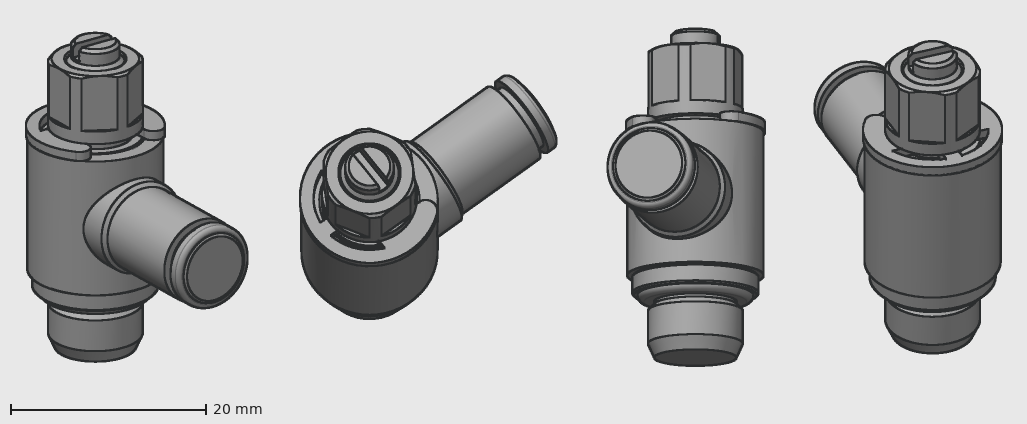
import cadquery as cq
import math


total_height = 34.0
tip_height = 1.45
thread_top = 4.9
seal_bottom = 5.85
collar_bottom = 6.55
housing_bottom = 8.6
housing_height = 14.95
housing_top = housing_bottom + housing_height
clip_thickness = 1.02
clip_top = housing_top + clip_thickness
hex_bottom = 25.98
hex_top = 32.03

bolt_dia = 9.75
neck_dia = 8.5
tip_dia = 8.43
clip_groove_dia = 7.6
hex_across_flats = 9.0
hex_crown_dia = 8.98
hex_crown_angle = 30.0
screw_bore_dia = 6.0
screw_bore_chamfer = 0.2

screw_tip_dia = 5.0
screw_tip_chamfer = 0.37
screw_shoulder_top = 32.3
screw_slot_width = 1.12
screw_slot_depth = 1.45

housing_dia = 14.0
bore_chamfer = 0.27
branch_height = 16.0
hub_dia = 10.0
hub_end = 8.55
branch_dia = 9.1
branch_end = 18.55
hub_chamfer = (hub_dia - branch_dia) / 2

sleeve_neck_dia = 7.4
sleeve_flange_dia = 9.0
sleeve_flange_start = 19.6
sleeve_flange_end = 20.95
sleeve_rounding = 0.5
sleeve_end = 21.1
sleeve_face_dia = 7.0
sleeve_cone_dia = 7.6

clip_dia = 14.28
clip_opening = 6.95
clip_end_rounding = 1.2
window_outer_dia = 11.45
finger_half_width = 0.9
window_edge_x = -2.1

collar_dia = 13.0
collar_chamfer = 0.2
seal_dia = 11.9
seal_rounding = 0.68


def disc(diameter, bottom, top):
    """Cylinder on the bolt axis between two heights."""
    return cq.Workplane("XY").workplane(offset=bottom).circle(diameter / 2).extrude(top - bottom)


def ring(outer_dia, inner_dia, bottom, top):
    """Ring on the bolt axis between two heights."""
    return (
        cq.Workplane("XY").workplane(offset=bottom)
        .circle(outer_dia / 2).circle(inner_dia / 2).extrude(top - bottom)
    )


def branch_cylinder(diameter, start, end):
    """Cylinder on the branch axis between two X positions."""
    return (
        cq.Workplane("YZ", origin=(start, 0, branch_height))
        .circle(diameter / 2).extrude(end - start)
    )


def make_housing():
    """Barrel with the side branch, bored through for the bolt."""
    hub = branch_cylinder(hub_dia, 0, hub_end).faces(">X").chamfer(hub_chamfer)
    branch = branch_cylinder(branch_dia, 0, branch_end)
    barrel = disc(housing_dia, housing_bottom, housing_top)
    housing = barrel.union(hub).union(branch)
    housing = housing.cut(disc(bolt_dia, housing_bottom, housing_top))
    return housing.faces(">Z").edges(cq.NearestToPointSelector((0, 0, housing_top))).chamfer(bore_chamfer)


def make_bolt():
    """Hollow bolt: turned profile, hexagon head and screw bore."""
    radius = bolt_dia / 2
    crown_radius = hex_crown_dia / 2
    crown_drop = (radius - crown_radius) * math.tan(math.radians(hex_crown_angle))
    cone_height = (bolt_dia - neck_dia) / 2
    profile = [
        (0, 0),
        (tip_dia / 2, 0),
        (radius, tip_height),
        (radius, thread_top),
        (neck_dia / 2, thread_top + cone_height),
        (neck_dia / 2, collar_bottom),
        (radius, collar_bottom),
        (radius, housing_top),
        (clip_groove_dia / 2, housing_top),
        (clip_groove_dia / 2, clip_top),
        (radius, clip_top),
        (radius, hex_top - crown_drop),
        (crown_radius, hex_top),
        (0, hex_top),
    ]
    bolt = cq.Workplane("XZ").polyline(profile).close().revolve(360, (0, 0), (0, 1))

    across_corners = hex_across_flats / math.cos(math.radians(30))
    around_hexagon = (
        cq.Workplane("XY").workplane(offset=hex_bottom)
        .circle(bolt_dia).polygon(6, across_corners).extrude(hex_top - hex_bottom)
    )
    bolt = bolt.cut(around_hexagon)

    bolt = bolt.cut(disc(screw_bore_dia, hex_bottom, hex_top))
    return bolt.faces(">Z").edges(cq.NearestToPointSelector((0, 0, hex_top))).chamfer(screw_bore_chamfer)


def make_screw():
    """Slotted adjusting screw filling the bore of the bolt."""
    shoulder_height = (screw_bore_dia - screw_tip_dia) / 2
    shoulder_bottom = screw_shoulder_top - shoulder_height
    tip = disc(screw_tip_dia, shoulder_bottom, total_height).faces(">Z").chamfer(screw_tip_chamfer)
    body = disc(screw_bore_dia, hex_bottom, screw_shoulder_top)
    body = body.faces(">Z").chamfer(shoulder_height)
    slot = (
        cq.Workplane("XY").workplane(offset=total_height - screw_slot_depth)
        .rect(screw_slot_width, screw_bore_dia).extrude(screw_slot_depth)
    )
    return body.union(tip).cut(slot)


def make_clip():
    """E-shaped retaining clip in the groove of the bolt, open towards +X."""
    outer = clip_dia / 2
    opening = (
        cq.Workplane("XY").workplane(offset=housing_top)
        .rect(2 * outer, clip_opening).extrude(clip_thickness)
        .translate((outer, 0, 0))
    )
    clip = ring(clip_dia, clip_groove_dia, housing_top, clip_top).cut(opening)

    corner_x = math.sqrt(outer**2 - (clip_opening / 2) ** 2)
    for side in (1, -1):
        corner = (corner_x, side * clip_opening / 2, housing_top + clip_thickness / 2)
        clip = clip.edges(cq.NearestToPointSelector(corner)).fillet(clip_end_rounding)

    window_width = outer - finger_half_width
    window_length = outer + window_edge_x
    window_ring = ring(window_outer_dia, clip_groove_dia, housing_top, clip_top)
    for side in (1, -1):
        window_bounds = (
            cq.Workplane("XY").workplane(offset=housing_top)
            .center(window_edge_x - window_length / 2, side * (finger_half_width + window_width / 2))
            .rect(window_length, window_width).extrude(clip_thickness)
        )
        clip = clip.cut(window_ring.intersect(window_bounds))
    return clip


def make_collar():
    """Chamfered metal ring under the housing, around the full bolt diameter."""
    collar = disc(collar_dia, collar_bottom, housing_bottom).edges().chamfer(collar_chamfer)
    return collar.cut(disc(bolt_dia, collar_bottom, housing_bottom))


def make_seal():
    """Soft sealing ring under the collar, around the neck of the bolt."""
    seal = disc(seal_dia, seal_bottom, collar_bottom).faces("<Z").edges().fillet(seal_rounding)
    return seal.cut(disc(neck_dia, seal_bottom, collar_bottom))


def make_sleeve():
    """Release sleeve: neck against the branch end, rounded flange and shallow end cone."""
    neck = branch_cylinder(sleeve_neck_dia, branch_end, sleeve_flange_start)
    flange = branch_cylinder(sleeve_flange_dia, sleeve_flange_start, sleeve_flange_end)
    flange = flange.faces(">X").edges().fillet(sleeve_rounding)
    cone = (
        cq.Workplane("YZ", origin=(sleeve_flange_end, 0, branch_height))
        .circle(sleeve_cone_dia / 2)
        .workplane(offset=sleeve_end - sleeve_flange_end)
        .circle(sleeve_face_dia / 2)
        .loft()
    )
    return neck.union(flange).union(cone)


housing = make_housing()
bolt = make_bolt()
screw = make_screw()
clip = make_clip()
collar = make_collar()
seal = make_seal()
sleeve = make_sleeve()

result = cq.Compound.makeCompound([
    housing.val(),
    bolt.val(),
    screw.val(),
    clip.val(),
    collar.val(),
    seal.val(),
    sleeve.val(),
])